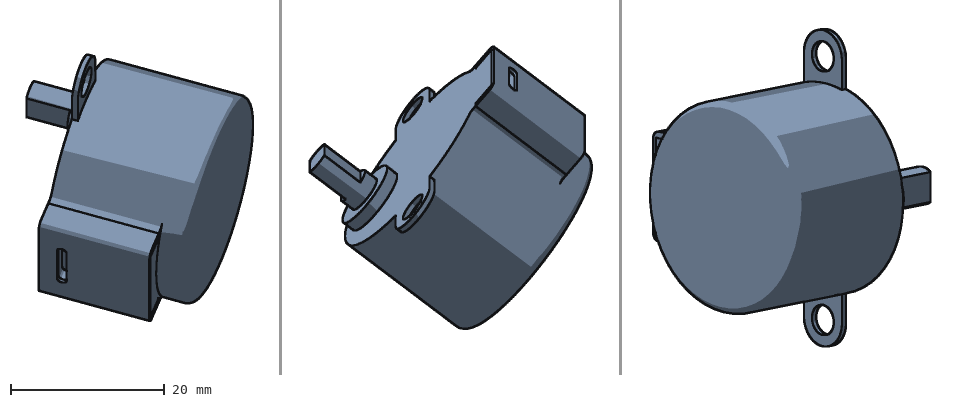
import cadquery as cq
import math


can_radius = 28.0 / 2
can_length = 19.15
can_rear_fillet = 1.0

overall_height = 42.0
ear_radius = 7.0 / 2
ear_thickness = 0.8
ear_hole_diameter = 4.0
ear_offset = overall_height / 2 - ear_radius

shaft_offset = 7.8
boss_diameter = 9.25
boss_height = 1.7
shaft_diameter = 5.0
shaft_tip = 9.65
flat_length = 6.0
flat_thickness = 3.02

block_length = 15.2
half_width = 14.57 / 2
overall_depth = 30.8
block_reach = overall_depth - can_radius
root_fillet = 1.0

cover_side_wall = 0.9
cover_front_wall = 0.5
cover_edge = 12.98
cover_corner_fillet = 1.0
inner_half_width = half_width - cover_side_wall
inner_reach = block_reach - cover_front_wall

slot_position = 3.2
slot_width = 1.3
slot_length = 7.0
slot_depth = 2.0


def x_cylinder(diameter, start, end, y=0.0, z=0.0):
    """Cylinder parallel to X, from X = start to X = end."""
    profile = cq.Workplane("YZ", origin=(start, y, z)).circle(diameter / 2)
    return profile.extrude(end - start)


def make_can():
    can = x_cylinder(2 * can_radius, 0, can_length)
    return can.faces(">X").edges().fillet(can_rear_fillet)


def make_ears():
    """One round-ended strap across the can; its two ends stand out as the ears."""
    strap = cq.Workplane("YZ").slot2D(overall_height, 2 * ear_radius, 90)
    return strap.extrude(ear_thickness)


def cut_ear_holes(body):
    for side in (-1, 1):
        body = body.cut(x_cylinder(ear_hole_diameter, 0, ear_thickness, z=side * ear_offset))
    return body


def make_shaft():
    boss = x_cylinder(boss_diameter, -boss_height, 0, y=shaft_offset)
    shaft = x_cylinder(shaft_diameter, -shaft_tip, 0, y=shaft_offset)
    for side in (-1, 1):
        cut_x = -shaft_tip + flat_length / 2
        cut_y = shaft_offset + side * (flat_thickness + shaft_diameter) / 2
        flat_cut = cq.Workplane("XY").box(flat_length, shaft_diameter, shaft_diameter)
        shaft = shaft.cut(flat_cut.translate((cut_x, cut_y, 0)))
    return boss.union(shaft)


def make_block_core():
    """Block that fills the cover, with concave fillets where it leaves the can."""
    centre_z = half_width + root_fillet
    centre_distance = can_radius + root_fillet
    centre_y = -math.sqrt(centre_distance**2 - centre_z**2)
    can_y = centre_y * can_radius / centre_distance
    can_z = centre_z * can_radius / centre_distance
    can_end_angle = math.atan2(can_z - centre_z, can_y - centre_y)
    block_end_angle = -math.pi / 2
    middle_angle = (can_end_angle + block_end_angle) / 2
    middle_y = centre_y + root_fillet * math.cos(middle_angle)
    middle_z = centre_z + root_fillet * math.sin(middle_angle)

    return (
        cq.Workplane("YZ")
        .moveTo(0, can_z)
        .lineTo(can_y, can_z)
        .threePointArc((middle_y, middle_z), (centre_y, half_width))
        .lineTo(-cover_edge, half_width)
        .lineTo(-cover_edge, inner_half_width)
        .lineTo(-inner_reach, inner_half_width)
        .lineTo(-inner_reach, -inner_half_width)
        .lineTo(-cover_edge, -inner_half_width)
        .lineTo(-cover_edge, -half_width)
        .lineTo(centre_y, -half_width)
        .threePointArc((middle_y, -middle_z), (can_y, -can_z))
        .lineTo(0, -can_z)
        .close()
        .extrude(block_length)
    )


def make_slot():
    """Cutter for the slot, from the outer cover face inwards along +Y."""
    return (
        cq.Workplane("XZ", origin=(slot_position, -block_reach, 0))
        .slot2D(slot_length, slot_width, 90)
        .extrude(-slot_depth)
    )


def make_motor():
    body = make_can().union(make_ears()).union(make_block_core())
    body = cut_ear_holes(body).cut(make_slot())
    return body.union(make_shaft())


def make_cover():
    shell = (
        cq.Workplane("YZ")
        .moveTo(-cover_edge, half_width)
        .lineTo(-block_reach, half_width)
        .lineTo(-block_reach, -half_width)
        .lineTo(-cover_edge, -half_width)
        .lineTo(-cover_edge, -inner_half_width)
        .lineTo(-inner_reach, -inner_half_width)
        .lineTo(-inner_reach, inner_half_width)
        .lineTo(-cover_edge, inner_half_width)
        .close()
        .extrude(block_length)
        .faces("<Y")
        .edges("|X")
        .fillet(cover_corner_fillet)
    )
    return shell.cut(make_slot())


motor = make_motor()
cover = make_cover()

result = cq.Compound.makeCompound([motor.val(), cover.val()])